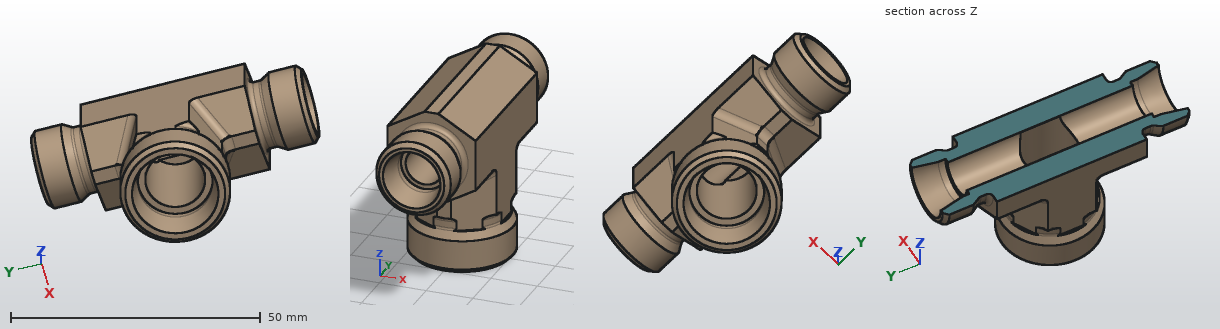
import cadquery as cq
import math

across_flats = 19.0
blunt_width = 2.95
run_body_length = 34.05
reach = 28.0
crotch_radius = 2.0

end_chamfer = 1.0
groove_radius = 1.0
neck_reduction = 2.3
groove_depth = neck_reduction / 2
runout_angle = math.radians(30)
cone_half_angle = math.radians(12)
seat_depth = 7.0

run_thread_diameter = 16.0
run_thread_length = 6.5
run_bore = 8.0
run_tube = 10.0
run_mouth = 12.3
run_groove_end = reach - run_body_length / 2

branch_thread_diameter = 22.0
branch_thread_length = 7.3
branch_bore = 12.0
branch_tube = 15.0
branch_mouth = 17.3
branch_collar_length = 9.0
branch_groove_end = 12.0

clear_radius = across_flats
tolerance = 5.6e-05


def hexagon(plane):
    """Hexagon with flats on +X and -X and its other two corners blunted."""
    side_x = across_flats / 2
    corner = across_flats / math.sqrt(3)
    blunt_x = blunt_width / 2
    blunt_y = corner - blunt_x / math.sqrt(3)
    upper = [(side_x, corner / 2), (blunt_x, blunt_y), (-blunt_x, blunt_y), (-side_x, corner / 2)]
    lower = [(-x, -y) for x, y in upper]
    return cq.Workplane(plane).polyline(upper + lower).close()


def connector(thread_diameter, thread_length, groove_end, shoulder_radius):
    """Solid male connector along +Z with its end face at Z = 0.

    The thread runs out at an angle into a rounded relief groove, which flares out again
    at groove_end. From there a plain shoulder continues up to the centre of the tee.
    """
    thread_radius = thread_diameter / 2
    neck_radius = thread_radius - groove_depth
    flare_start = groove_end - groove_radius

    cone_end = thread_length + groove_depth / math.tan(runout_angle)
    tangent = groove_radius * math.tan(runout_angle / 2)
    blend_center_radius = neck_radius + groove_radius
    blend_end = cone_end + tangent

    def on_blend(angle):
        return (
            blend_center_radius - groove_radius * math.cos(angle),
            blend_end - groove_radius * math.sin(angle),
        )

    flare_angle = math.radians(45)
    flare_middle = (
        blend_center_radius - groove_radius * math.cos(flare_angle),
        flare_start + groove_radius * math.sin(flare_angle),
    )
    return (
        cq.Workplane("XZ")
        .lineTo(thread_radius - end_chamfer, 0)
        .lineTo(thread_radius, end_chamfer)
        .lineTo(thread_radius, thread_length)
        .lineTo(*on_blend(runout_angle))
        .threePointArc(on_blend(runout_angle / 2), (neck_radius, blend_end))
        .lineTo(neck_radius, flare_start)
        .threePointArc(flare_middle, (blend_center_radius, groove_end))
        .lineTo(shoulder_radius, groove_end)
        .lineTo(shoulder_radius, reach)
        .lineTo(0, reach)
        .close()
        .revolve(360, (0, 0), (0, 1))
    )


def bore(mouth, tube, hole):
    """Bore along +Z from Z = 0 to the tee centre: sealing cone, tube socket, flow hole."""
    cone_depth = (mouth - tube) / 2 / math.tan(cone_half_angle)
    profile = [
        (0, 0),
        (mouth / 2, 0),
        (tube / 2, cone_depth),
        (tube / 2, seat_depth),
        (hole / 2, seat_depth),
        (hole / 2, reach),
        (0, reach),
    ]
    return cq.Workplane("XZ").polyline(profile).close().revolve(360, (0, 0), (0, 1))


def at_branch_end(shape):
    """Move a shape so that its Z = 0 end face becomes the lower end of the branch."""
    return shape.translate((0, 0, -reach))


def at_run_end(shape, side):
    """Place a shape on the run end at -Y (side = -1) or +Y (side = 1)."""
    return at_branch_end(shape).rotate((0, 0, 0), (1, 0, 0), 90 * side)


def branch_disc(height):
    """Disc wider than the hexagon, rising from the lower end of the branch."""
    return at_branch_end(cq.Workplane("XY").circle(clear_radius).extrude(height))


def on_miter(edge):
    """True for the edges where run and branch meet, which lie where Z = -|Y|."""
    return all(
        abs(abs(point.y) + point.z) < tolerance
        for point in (edge.startPoint(), edge.endPoint())
    )


run_bar = hexagon("XZ").extrude(run_body_length / 2, both=True)
branch_bar = hexagon("XY").extrude(branch_collar_length - reach)
bars = run_bar.union(branch_bar)
miter_edges = [edge for edge in bars.edges().vals() if on_miter(edge)]
body = bars.newObject(miter_edges).fillet(crotch_radius)

branch_round = at_branch_end(
    connector(branch_thread_diameter, branch_thread_length, branch_groove_end, clear_radius)
)
corner_relief = branch_disc(branch_groove_end).cut(branch_round)
collar = branch_round.intersect(branch_disc(branch_collar_length))
body = body.cut(corner_relief).union(collar)

run_neck_radius = run_thread_diameter / 2 - groove_depth
run_connector = connector(run_thread_diameter, run_thread_length, run_groove_end, run_neck_radius)
for side in (-1, 1):
    body = body.union(at_run_end(run_connector, side))

body = body.cut(at_branch_end(bore(branch_mouth, branch_tube, branch_bore)))
for side in (-1, 1):
    body = body.cut(at_run_end(bore(run_mouth, run_tube, run_bore), side))

result = body